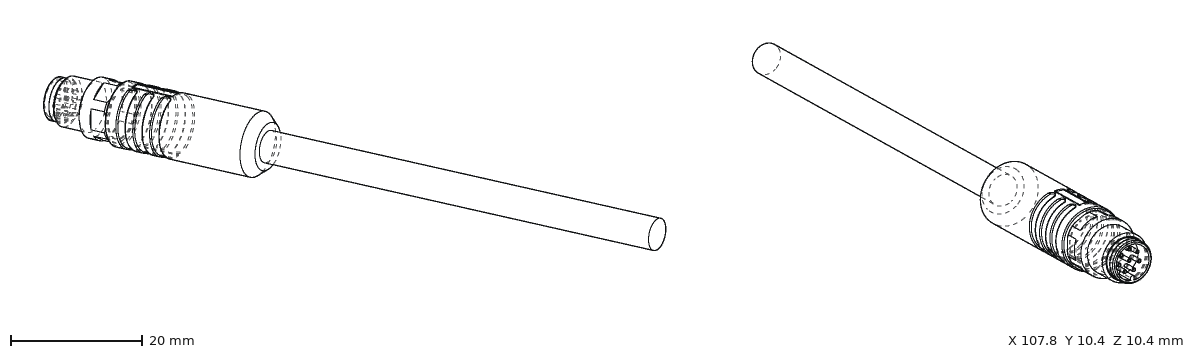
import cadquery as cq
import math

total_length = 107.8

tip_diameter = 6.9
tip_face_diameter = 6.5
tip_length = 1.9
rim_length = 1.1
rim_groove_diameter = 6.8
sleeve_diameter = 8.0
sleeve_chamfer = 0.4

collar_start = 6.8
collar_diameter = 9.6
collar_taper_length = 0.5
hex_start = 9.3
hex_across_flats = 9.0
hex_side_count = 6
neck_start = 11.9
neck_diameter = 8.0
collar_rear_chamfer = 0.2

body_start = 12.1
body_front_chamfer = 0.2
body_diameter = 10.4
body_end = 38.2
body_taper_length = 1.8
body_end_diameter = 7.5

cable_diameter = 5.1

socket_diameter = 5.8
socket_depth = 3.2
key_radius = 0.4
key_center_drop = 2.6
pin_diameter = 0.6
pin_tip_chamfer = 0.1
pin_recess = 0.9
pin_circle_diameter = 3.7
outer_pin_count = 7

slot_depth = 0.2
slot_width = 1.7
slot_floor_width = 1.3
slot_pitch = 3.0
slot_count = 3
first_slot_start = 14.1
first_slot_center = first_slot_start + slot_width / 2
slot_end_offset = 1.2
bar_width = 1.6


def revolved(points):
    """Revolve an (x, radius) outline about the X axis."""
    return cq.Workplane("XY").polyline(points).close().revolve(360, (0, 0, 0), (1, 0, 0))


def x_cylinder(diameter, start, end):
    return cq.Workplane("YZ", origin=(start, 0, 0)).circle(diameter / 2).extrude(end - start)


def make_outer():
    """Round outline of plug, collar, neck, grip body and cable."""
    sleeve_full = tip_length + sleeve_chamfer
    return revolved([
        (0, 0),
        (0, tip_face_diameter / 2),
        ((tip_diameter - tip_face_diameter) / 2, tip_diameter / 2),
        (rim_length, tip_diameter / 2),
        (rim_length, rim_groove_diameter / 2),
        (tip_length, rim_groove_diameter / 2),
        (tip_length, sleeve_diameter / 2 - sleeve_chamfer),
        (sleeve_full, sleeve_diameter / 2),
        (collar_start, sleeve_diameter / 2),
        (collar_start + collar_taper_length, collar_diameter / 2),
        (neck_start - collar_rear_chamfer, collar_diameter / 2),
        (neck_start, collar_diameter / 2 - collar_rear_chamfer),
        (neck_start, neck_diameter / 2),
        (body_start, neck_diameter / 2),
        (body_start, body_diameter / 2 - body_front_chamfer),
        (body_start + body_front_chamfer, body_diameter / 2),
        (body_end - body_taper_length, body_diameter / 2),
        (body_end, body_end_diameter / 2),
        (body_end, cable_diameter / 2),
        (total_length, cable_diameter / 2),
        (total_length, 0),
    ])


def make_hex_cutter():
    """Ring outside the hexagon, with one pair of flats facing +Y and -Y."""
    length = neck_start - hex_start
    corner_diameter = hex_across_flats / math.cos(math.pi / hex_side_count)
    hexagon = (
        cq.Workplane("YZ", origin=(hex_start, 0, 0))
        .polygon(hex_side_count, corner_diameter)
        .extrude(length)
        .rotate((0, 0, 0), (1, 0, 0), 180 / hex_side_count)
    )
    return x_cylinder(body_diameter, hex_start, neck_start).cut(hexagon)


def make_contacts():
    """One center pin and a ring of pins, the first one pointing up."""
    spots = [(0, 0)]
    for index in range(outer_pin_count):
        angle = math.pi / 2 + 2 * math.pi * index / outer_pin_count
        radius = pin_circle_diameter / 2
        spots.append((radius * math.cos(angle), radius * math.sin(angle)))
    return (
        cq.Workplane("YZ", origin=(pin_recess, 0, 0))
        .pushPoints(spots)
        .circle(pin_diameter / 2)
        .extrude(socket_depth - pin_recess)
        .faces("<X")
        .chamfer(pin_tip_chamfer)
    )


def make_side_slots():
    """Shallow ring grooves with sloped walls, ending in round ends near the top and bottom."""
    floor_radius = body_diameter / 2 - slot_depth
    slope_run = (slot_width - slot_floor_width) / 2
    slot_length = body_diameter
    slots = cq.Workplane("XY")
    for index in range(slot_count):
        center = first_slot_center + index * slot_pitch
        ring = revolved([
            (center - slot_floor_width / 2, floor_radius),
            (center + slot_floor_width / 2, floor_radius),
            (center + slot_width / 2 + slope_run, body_diameter / 2 + slot_depth),
            (center - slot_width / 2 - slope_run, body_diameter / 2 + slot_depth),
        ])
        for side in (1, -1):
            slot_middle = side * (slot_end_offset + slot_length / 2)
            prism = (
                cq.Workplane("XY", origin=(center, slot_middle, 0))
                .slot2D(slot_length, slot_width, 90)
                .extrude(body_diameter, both=True)
            )
            slots = slots.add(ring.intersect(prism))
    return slots.combine()


def make_bars():
    """Flat-bottomed straight recesses along the top and bottom, between the slot ends."""
    length = (slot_count - 1) * slot_pitch + slot_floor_width
    middle = first_slot_center + (slot_count - 1) * slot_pitch / 2
    top_bar = cq.Workplane("XY", origin=(middle, 0, body_diameter / 2)).box(length, bar_width, 2 * slot_depth)
    return top_bar.union(top_bar.mirror("XY"))


def make_socket():
    """Socket bore with a round key left standing along its lowest line."""
    key = (
        cq.Workplane("YZ")
        .center(0, -key_center_drop)
        .circle(key_radius)
        .extrude(socket_depth)
    )
    return x_cylinder(socket_diameter, 0, socket_depth).cut(key)


result = (
    make_outer()
    .cut(make_hex_cutter())
    .cut(make_side_slots())
    .cut(make_bars())
    .cut(make_socket())
    .union(make_contacts())
)